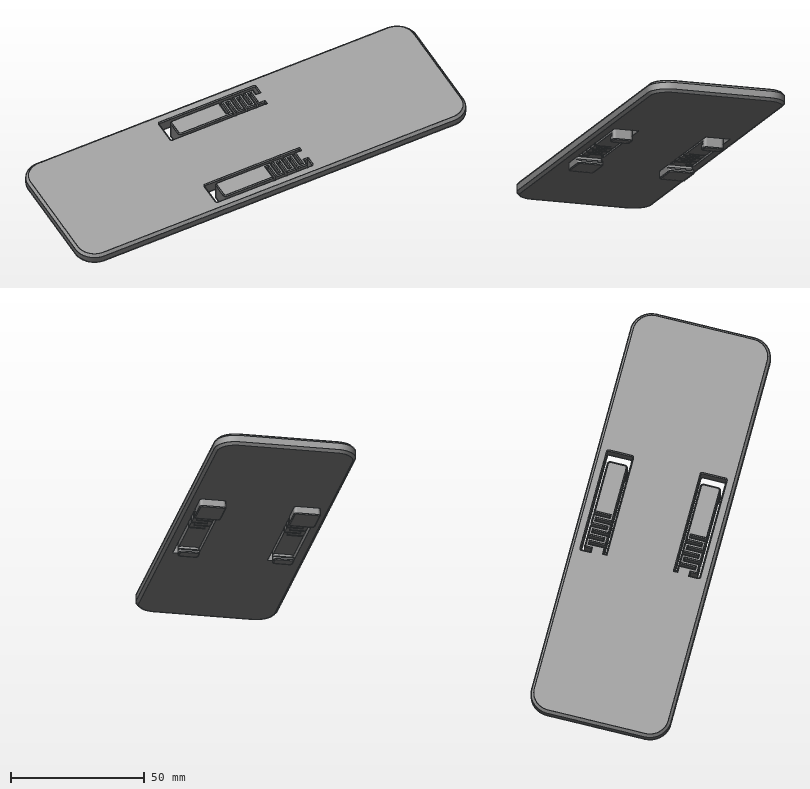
import cadquery as cq

plate_width = 54.0
plate_length = 165.0
plate_thickness = 4.6
plate_corner_radius = 8.1
plate_chamfer = 1.02

mouth_outer_x = -23.5
mouth_inner_x = -12.9
mouth_end_y = -25.0
mouth_top_y = 16.5
top_edge_chamfer = 0.41
pocket_outer_x = mouth_outer_x + top_edge_chamfer
pocket_inner_x = mouth_inner_x - top_edge_chamfer
pocket_end_y = mouth_end_y + top_edge_chamfer
pocket_top_y = mouth_top_y - top_edge_chamfer
channel_top_step = 0.5
inner_channel_top_y = pocket_top_y - channel_top_step
pocket_corner_radius = 0.5

outer_channel_width = 1.07
tongue_outer_x = pocket_outer_x + outer_channel_width
tongue_inner_x = -14.2
tongue_end_y = -20.8
foot_corner_radius = 1.2

slot_count = 6
slot_width = 0.8
bar_width = 1.57
slot_pitch = slot_width + bar_width
last_slot_y = 0.7
first_slot_y = last_slot_y + (slot_count - 1) * slot_pitch
root_slot_width = 1.4
root_slot_length = 2.6

foot_height = 3.0
foot_chamfer = 0.36
neck_height = 1.0
lip_tip_depth = 2.0
lip_reach = 1.5
fixed_foot_outer_x = -23.1
fixed_foot_inner_x = -13.0
fixed_foot_tip_y = 16.0
fixed_foot_back_y = 28.2
tongue_foot_tip_y = -16.2

plate_z = (0, plate_thickness)


def block(x_range, y_range, z_range):
    """Box spanning the given coordinate ranges, whose ends may come in either order."""
    ranges = [sorted(ends) for ends in (x_range, y_range, z_range)]
    size = [high - low for low, high in ranges]
    corner = tuple(low for low, high in ranges)
    return cq.Workplane("XY").box(*size, centered=False).translate(corner)


def make_clearance():
    """Everything cut away around one tongue and its folded spring."""
    pocket = block((pocket_outer_x, pocket_inner_x), (pocket_end_y, pocket_top_y), plate_z)
    pocket = pocket.edges("|Z").fillet(pocket_corner_radius)
    tongue = block((tongue_outer_x, tongue_inner_x), (tongue_end_y, pocket_top_y), plate_z)
    tongue = tongue.edges("|Z and <Y").fillet(foot_corner_radius)
    channel_stop = block((tongue_inner_x, pocket_inner_x), (inner_channel_top_y, pocket_top_y), plate_z)
    clearance = pocket.cut(tongue).cut(channel_stop)

    root_slot_y = (pocket_top_y - root_slot_width, pocket_top_y)
    root_slot_x = (tongue_outer_x, tongue_outer_x + root_slot_length)
    clearance = clearance.union(block(root_slot_x, root_slot_y, plate_z))

    for index in range(slot_count):
        center_y = first_slot_y - index * slot_pitch
        slot_y = (center_y - slot_width / 2, center_y + slot_width / 2)
        if index % 2 == 0:
            slot_x = (tongue_outer_x + bar_width, tongue_inner_x)
        else:
            slot_x = (tongue_outer_x, tongue_inner_x - bar_width)
        clearance = clearance.union(block(slot_x, slot_y, plate_z))
    return clearance


def make_plate():
    """Rounded plate with chamfered rims, and both clips cut free with chamfered top edges."""
    plate = cq.Workplane("XY").box(plate_width, plate_length, plate_thickness, centered=(True, True, False))
    plate = plate.edges("|Z").fillet(plate_corner_radius)
    plate = plate.faces("<Z or >Z").edges().chamfer(plate_chamfer)

    clearance = make_clearance()
    plate = plate.cut(clearance).cut(clearance.mirror("YZ"))
    pocket_edges = cq.selectors.BoxSelector(
        (mouth_outer_x, mouth_end_y, plate_thickness / 2),
        (-mouth_outer_x, mouth_top_y, plate_thickness * 2),
    )
    return plate.faces(">Z").edges(pocket_edges).chamfer(top_edge_chamfer)


def make_foot(x_range, tip_y, back_y):
    """Foot with a shorter neck under the plate and a lip pointing from back_y towards tip_y."""
    inward = 1 if back_y > tip_y else -1
    neck_y = tip_y + inward * lip_reach
    neck = block(x_range, (neck_y, back_y), (-foot_height + foot_chamfer, 0))
    neck = neck.edges("|Z").fillet(foot_corner_radius)

    base = block(x_range, (tip_y, back_y), (-foot_height, -neck_height))
    base = base.edges("|Z").fillet(foot_corner_radius)
    base = base.faces("<Z").edges().chamfer(foot_chamfer)
    lip_slope = (
        cq.Workplane("YZ", origin=(min(x_range), 0, 0))
        .moveTo(neck_y, -neck_height)
        .lineTo(tip_y, -lip_tip_depth)
        .lineTo(tip_y, -neck_height)
        .close()
        .extrude(max(x_range) - min(x_range))
    )
    return base.cut(lip_slope).union(neck)


fixed_foot = make_foot((fixed_foot_outer_x, fixed_foot_inner_x), fixed_foot_tip_y, fixed_foot_back_y)
tongue_foot = make_foot((tongue_outer_x, tongue_inner_x), tongue_foot_tip_y, tongue_end_y)

result = make_plate()
for foot in (fixed_foot, tongue_foot):
    result = result.union(foot).union(foot.mirror("YZ"))